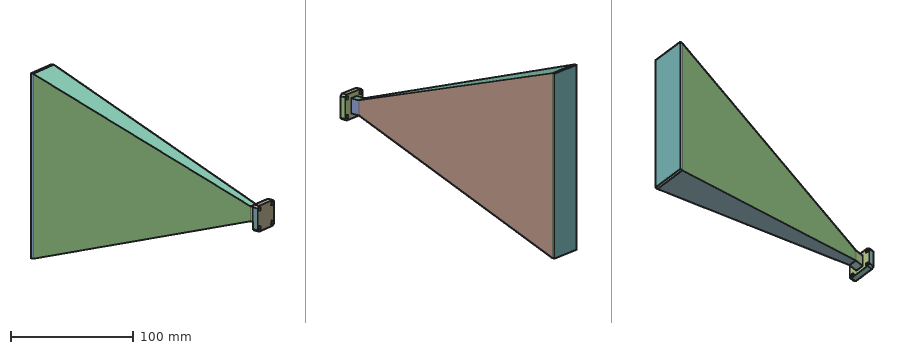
import cadquery as cq

total_length = 228.5
mouth_width = 28.5
mouth_height = 160.0
lip_length = 2.3

neck_length = 8.0
neck_width = 7.3
neck_height = 13.0

flange_size = 22.5
flange_thickness = 5.0
flange_corner_chamfer = 1.8
hole_diameter = 3.0
hole_pitch_y = 17.0
hole_pitch_z = 16.2

flange_start = total_length - flange_thickness
neck_start = flange_start - neck_length
flare_length = neck_start - lip_length


def block(start, length, width, height):
    """Rectangular prism centred on the horn axis."""
    return cq.Workplane("YZ", origin=(start, 0, 0)).rect(width, height).extrude(length)


def make_flare():
    """Four-sided taper from the mouth lip down to the neck."""
    return (
        cq.Workplane("YZ", origin=(lip_length, 0, 0))
        .rect(mouth_width, mouth_height)
        .workplane(offset=flare_length)
        .rect(neck_width, neck_height)
        .loft(ruled=True)
    )


def make_flange():
    """Flange plate with chamfered corners."""
    plate = block(flange_start, flange_thickness, flange_size, flange_size)
    return plate.edges("|X").chamfer(flange_corner_chamfer)


def make_bolt_holes():
    """Cutters for the four bolt holes through the flange."""
    return (
        cq.Workplane("YZ", origin=(flange_start, 0, 0))
        .rect(hole_pitch_y, hole_pitch_z, forConstruction=True)
        .vertices()
        .circle(hole_diameter / 2)
        .extrude(flange_thickness)
    )


lip = block(0, lip_length, mouth_width, mouth_height)
neck = block(neck_start, neck_length, neck_width, neck_height)

result = lip.union(make_flare()).union(neck).union(make_flange()).cut(make_bolt_holes())